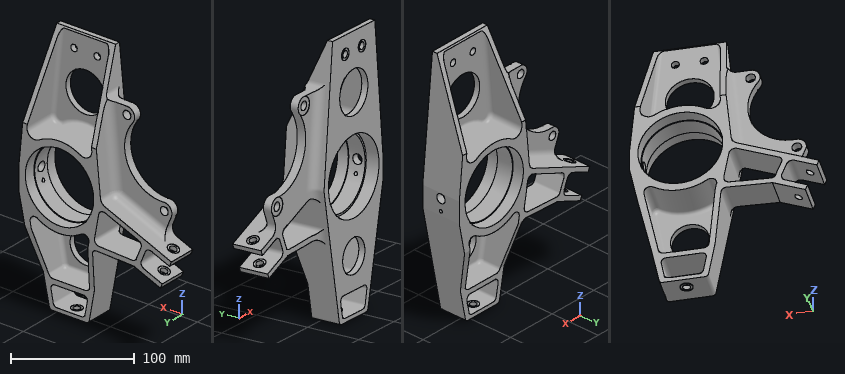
import cadquery as cq
import math

DEPTH = 40.0

TOP_Z = 125.5
TOP_HALF_WIDTH = 30.3
WAIST_HALF_WIDTH = 42.5
BOTTOM_Z = -122.5
BOTTOM_HALF_WIDTH = 20.0
FLAT_X = 42.0
FLAT_LOW_Z = -16.0
BOTTOM_CORNER_RADIUS = 3.2

SLOPE_START_Z = 46.7
TOP_THICKNESS = 5.2
LOWER_SLOPE_END_Z = -90.5
BOTTOM_THICKNESS = 27.3

WALL = 5.0
BORE_FRONT_RADIUS = 36.0
BORE_RADIUS = 34.3
BORE_SHOULDER_Y = 12.5
BORE_BACK_RADIUS = 35.0
BORE_BACK_Y = 28.8
RING_RADIUS = 42.0
UPPER_HOLE_Z = 72.5
UPPER_HOLE_RADIUS = 20.0
LOWER_HOLE_Z = -68.5
LOWER_HOLE_RADIUS = 16.0
POCKET_FLOOR_Y = 6.0
POCKET_FLOOR_RADIUS = 4.0
LOWER_POCKET_CORNER_RADIUS = 5.0
SLOT_TOP_Z = -98.3
SLOT_BOTTOM_Z = -118.5
SLOT_CORNER_RADIUS = 4.0

SENSOR_HOLE_RADIUS = 4.5
SCREW_HOLE_RADIUS = 1.5
SCREW_HOLE_Z = -12.0

INSERT_RADIUS = 5.2
INSERT_HOLE_RADIUS = 3.2
RECESS_DEPTH = 0.2
TOP_INSERT_X = 12.0
TOP_INSERT_Z = 108.8
BOTTOM_INSERT_Y = 17.1
BOTTOM_INSERT_PROUD = 0.5

BRACKET_FRONT_Y = 12.0
PLATE_BACK_Y = 20.0
LARGE_RADIUS = 8.0
ARM_CORNER_RADIUS = 8.2
JOINT_RADIUS = 5.0
TOP_JOINT_RADIUS = 7.0
INNER_RADIUS = 4.0
LUG_RADIUS = 8.0
LUG_HOLE_RADIUS = 4.0
UPPER_LUG = (-53.6, 74.7)
LOWER_LUG = (-91.9, -0.2)
DISC_CENTER = (-89.6, 45.7)

FORK_TIP = (-115.0, -31.0)
FORK_ANGLE = math.radians(22.5)
FORK_ARM = 5.0
FORK_GAP = 19.9
FORK_DEPTH = 25.0
FORK_HOLE_U = 9.7
LINK_ANGLE = math.radians(2.6)
LINK_START_U = 29.5

INSIDE_BODY_X = -24.8
INSIDE_RING_Z = 12.5
EDGE_CLEARANCE = 2.5
MARGIN = 12.5


def fork_point(u, n):
    x = FORK_TIP[0] + u * math.cos(FORK_ANGLE) + n * math.sin(FORK_ANGLE)
    z = FORK_TIP[1] + u * math.sin(FORK_ANGLE) - n * math.cos(FORK_ANGLE)
    return (x, z)


def on_line(start, angle, x):
    """Point at the given x on the line through start."""
    return (x, start[1] + (x - start[0]) * math.tan(angle))


def polar(center, radius, angle):
    return (center[0] + radius * math.cos(angle), center[1] + radius * math.sin(angle))


def heading(start, end):
    return math.atan2(end[1] - start[1], end[0] - start[0])


def half_width(z):
    """Half width of the tapered body, sharp at the waist."""
    if z >= 0:
        return WAIST_HALF_WIDTH + (TOP_HALF_WIDTH - WAIST_HALF_WIDTH) * z / TOP_Z
    return WAIST_HALF_WIDTH + (BOTTOM_HALF_WIDTH - WAIST_HALF_WIDTH) * z / BOTTOM_Z


LINK_START = fork_point(LINK_START_U, 2 * FORK_ARM + FORK_GAP)
LINK_TOP_START = (LINK_START[0], LINK_START[1] + FORK_ARM / math.cos(LINK_ANGLE))
WINDOW_U = FORK_DEPTH + FORK_ARM


def plane_at(y):
    return cq.Workplane("XZ", origin=(0, y, 0))


def prism(points, y_start, y_end):
    return plane_at(y_start).polyline(points).close().extrude(y_start - y_end)


def cylinder(center, radius, y_start, y_end):
    return plane_at(y_start).center(*center).circle(radius).extrude(y_start - y_end)


def round_corners(solid, corners, radius):
    """Round the edges along Y that pass through the given (x, z) corners."""
    edges = []
    for x, z in corners:
        edges.append(
            min(
                solid.edges("|Y").vals(),
                key=lambda edge: math.hypot(edge.Center().x - x, edge.Center().z - z),
            )
        )
    return solid.newObject(edges).fillet(radius)


def tapered_prism(z_low, z_high, inset, y_start, y_end):
    """Symmetric prism whose sides lie inset from one taper of the body."""
    taper = math.atan2(half_width(z_low) - half_width(z_high), z_high - z_low)
    side_inset = inset / math.cos(taper)
    low = half_width(z_low) - side_inset
    high = half_width(z_high) - side_inset
    return prism([(-low, z_low), (low, z_low), (high, z_high), (-high, z_high)], y_start, y_end)


def body_block():
    waist = (-WAIST_HALF_WIDTH, 0)
    bottom_corners = [(side * BOTTOM_HALF_WIDTH, BOTTOM_Z) for side in (-1, 1)]
    flat_top_z = TOP_Z * (WAIST_HALF_WIDTH - FLAT_X) / (WAIST_HALF_WIDTH - TOP_HALF_WIDTH)
    outline = [
        (-TOP_HALF_WIDTH, TOP_Z),
        (TOP_HALF_WIDTH, TOP_Z),
        (FLAT_X, flat_top_z),
        (FLAT_X, FLAT_LOW_Z),
        bottom_corners[1],
        bottom_corners[0],
        waist,
    ]
    block = prism(outline, 0, DEPTH)
    block = round_corners(block, [waist], LARGE_RADIUS)
    return round_corners(block, bottom_corners, BOTTOM_CORNER_RADIUS)


def window_link_corner():
    """Where the end of the window meets the top of the link."""
    top = fork_point(WINDOW_U, FORK_ARM)
    down = FORK_ANGLE - math.pi / 2
    rise = LINK_TOP_START[1] - top[1] + (top[0] - LINK_TOP_START[0]) * math.tan(LINK_ANGLE)
    length = rise / (math.sin(down) - math.cos(down) * math.tan(LINK_ANGLE))
    return polar(top, length, down)


def bracket_block():
    """Full-depth silhouette of the bracket, running into the body."""
    disc_radius = math.dist(DISC_CENTER, UPPER_LUG) - LUG_RADIUS
    upper_angle = heading(DISC_CENTER, UPPER_LUG)
    lower_angle = heading(DISC_CENTER, LOWER_LUG)
    upper_lug_end = upper_angle + math.pi
    lower_lug_start = lower_angle + math.pi
    lower_lug_end = FORK_ANGLE + math.pi
    lug_bottom = polar(LOWER_LUG, LUG_RADIUS, lower_lug_end)
    lug_u = (lug_bottom[0] - FORK_TIP[0]) * math.cos(FORK_ANGLE)
    lug_u += (lug_bottom[1] - FORK_TIP[1]) * math.sin(FORK_ANGLE)
    tail_corner = fork_point(lug_u, 0)
    gap_corners = [fork_point(FORK_DEPTH, FORK_ARM), fork_point(FORK_DEPTH, FORK_ARM + FORK_GAP)]
    lug_top_z = UPPER_LUG[1] + LUG_RADIUS

    block = (
        plane_at(0)
        .moveTo(INSIDE_BODY_X, lug_top_z)
        .lineTo(UPPER_LUG[0], lug_top_z)
        .threePointArc(
            polar(UPPER_LUG, LUG_RADIUS, (math.pi / 2 + upper_lug_end) / 2),
            polar(UPPER_LUG, LUG_RADIUS, upper_lug_end),
        )
        .threePointArc(
            polar(DISC_CENTER, disc_radius, (upper_angle + lower_angle) / 2),
            polar(LOWER_LUG, LUG_RADIUS, lower_lug_start),
        )
        .threePointArc(polar(LOWER_LUG, LUG_RADIUS, (lower_lug_start + lower_lug_end) / 2), lug_bottom)
        .lineTo(*tail_corner)
        .lineTo(*FORK_TIP)
        .lineTo(*fork_point(0, FORK_ARM))
        .lineTo(*gap_corners[0])
        .lineTo(*gap_corners[1])
        .lineTo(*fork_point(0, FORK_ARM + FORK_GAP))
        .lineTo(*fork_point(0, 2 * FORK_ARM + FORK_GAP))
        .lineTo(*LINK_START)
        .lineTo(*on_line(LINK_START, LINK_ANGLE, INSIDE_BODY_X))
        .close()
        .extrude(-DEPTH)
    )
    block = round_corners(block, [tail_corner], LARGE_RADIUS)
    block = round_corners(block, gap_corners, JOINT_RADIUS)

    window_top = fork_point(WINDOW_U, FORK_ARM)
    window_bottom = window_link_corner()
    window = prism(
        [
            window_top,
            on_line(window_top, FORK_ANGLE, INSIDE_BODY_X),
            on_line(LINK_TOP_START, LINK_ANGLE, INSIDE_BODY_X),
            window_bottom,
        ],
        0,
        DEPTH,
    )
    window = round_corners(window, [window_top, window_bottom], INNER_RADIUS)
    return block.cut(window)


def side_crossing(start, angle, z_end):
    """Where a line meets the left side of the body between the waist and the end z_end."""
    side_slope = (half_width(z_end) - WAIST_HALF_WIDTH) / z_end
    x = -(WAIST_HALF_WIDTH + side_slope * (start[1] - start[0] * math.tan(angle)))
    x /= 1 + side_slope * math.tan(angle)
    return on_line(start, angle, x)


def joined_block():
    """Body and bracket with rounded inner corners where the bracket runs into the body."""
    top_joint = side_crossing((UPPER_LUG[0], UPPER_LUG[1] + LUG_RADIUS), 0, TOP_Z)
    lower_joints = [
        side_crossing(fork_point(WINDOW_U, FORK_ARM), FORK_ANGLE, BOTTOM_Z),
        side_crossing(LINK_TOP_START, LINK_ANGLE, BOTTOM_Z),
        side_crossing(LINK_START, LINK_ANGLE, BOTTOM_Z),
    ]
    block = body_block().union(bracket_block())
    block = round_corners(block, [top_joint], TOP_JOINT_RADIUS)
    return round_corners(block, lower_joints, JOINT_RADIUS)


def round_near_edges(space, face, far_x, radius):
    """Round the edges of a face, except those on the outer limits at far_x and at the body ends."""
    low_corner = (far_x + EDGE_CLEARANCE, 0, BOTTOM_Z + EDGE_CLEARANCE)
    high_corner = (0, DEPTH, TOP_Z - EDGE_CLEARANCE)
    near = cq.selectors.BoxSelector(low_corner, high_corner)
    return space.faces(face).edges(near).fillet(radius)


def front_clearance():
    """Space in front of the bracket, blended into the left side of the body."""
    far_x = FORK_TIP[0] - MARGIN
    waist = (-WAIST_HALF_WIDTH, 0)
    outline = [
        (far_x, TOP_Z),
        (-TOP_HALF_WIDTH, TOP_Z),
        waist,
        (-BOTTOM_HALF_WIDTH, BOTTOM_Z),
        (far_x, BOTTOM_Z),
    ]
    space = round_corners(prism(outline, -MARGIN, BRACKET_FRONT_Y), [waist], LARGE_RADIUS)
    return round_near_edges(space, ">Y", far_x, LARGE_RADIUS)


def back_clearance():
    """Space behind the lug plate, bounded by the upper arm and the body."""
    corner = side_crossing(FORK_TIP, FORK_ANGLE, TOP_Z)
    far = fork_point(-MARGIN, 0)
    outline = [corner, (-TOP_HALF_WIDTH, TOP_Z), (far[0], TOP_Z), far]
    space = round_corners(prism(outline, PLATE_BACK_Y, DEPTH + MARGIN), [corner], ARM_CORNER_RADIUS)
    return round_near_edges(space, "<Y", far[0], LARGE_RADIUS)


def side_wedge(outline):
    """Prism along X that spans the body and its side fillets, from a (y, z) outline."""
    return cq.Workplane("YZ").polyline(outline).close().extrude(WAIST_HALF_WIDTH + LARGE_RADIUS, both=True)


def back_slopes():
    """Wedges that thin the body towards its upper and lower ends."""
    back_y = DEPTH + MARGIN
    upper = [(DEPTH, SLOPE_START_Z), (TOP_THICKNESS, TOP_Z), (back_y, TOP_Z), (back_y, SLOPE_START_Z)]
    lower = [
        (DEPTH, -SLOPE_START_Z),
        (BOTTOM_THICKNESS, LOWER_SLOPE_END_Z),
        (BOTTOM_THICKNESS, BOTTOM_Z),
        (back_y, BOTTOM_Z),
        (back_y, -SLOPE_START_Z),
    ]
    return side_wedge(upper).union(side_wedge(lower))


def back_pocket(z_near, z_far, corner_radius):
    """Pocket between the ring round the bore and one end of the body, open to the back."""
    z_low, z_high = sorted((z_near, z_far))
    space = tapered_prism(z_low, z_high, WALL, POCKET_FLOOR_Y, DEPTH + MARGIN)
    space = space.cut(cylinder((0, 0), RING_RADIUS, 0, DEPTH + 2 * MARGIN))
    space = space.edges("|Y").fillet(corner_radius)
    return space.faces("<Y").edges().fillet(POCKET_FLOOR_RADIUS)


def cut_body_openings(part):
    part = part.cut(back_pocket(INSIDE_RING_Z, TOP_Z + 2 * MARGIN, LARGE_RADIUS))
    part = part.cut(back_pocket(-INSIDE_RING_Z, SLOT_TOP_Z + WALL, LOWER_POCKET_CORNER_RADIUS))
    part = part.cut(cylinder((0, 0), BORE_FRONT_RADIUS, 0, BORE_SHOULDER_Y))
    part = part.cut(cylinder((0, 0), BORE_RADIUS, 0, DEPTH))
    part = part.cut(cylinder((0, 0), BORE_BACK_RADIUS, BORE_BACK_Y, DEPTH))
    part = part.cut(cylinder((0, UPPER_HOLE_Z), UPPER_HOLE_RADIUS, 0, DEPTH))
    part = part.cut(cylinder((0, LOWER_HOLE_Z), LOWER_HOLE_RADIUS, 0, DEPTH))
    slot = tapered_prism(SLOT_BOTTOM_Z, SLOT_TOP_Z, WALL, 0, DEPTH)
    return part.cut(slot.edges("|Y").fillet(SLOT_CORNER_RADIUS))


def cut_lug_holes(part):
    for center in (UPPER_LUG, LOWER_LUG):
        part = part.cut(cylinder(center, LUG_HOLE_RADIUS, 0, DEPTH))
        part = part.cut(cylinder(center, LUG_RADIUS, 0, BRACKET_FRONT_Y + RECESS_DEPTH))
    return part


def cut_top_inserts(part):
    for x in (-TOP_INSERT_X, TOP_INSERT_X):
        part = part.cut(cylinder((x, TOP_INSERT_Z), INSERT_HOLE_RADIUS, 0, DEPTH))
        part = part.cut(cylinder((x, TOP_INSERT_Z), INSERT_RADIUS, 0, RECESS_DEPTH))
    return part


def rod(start, direction, radius, length):
    return cq.Workplane(cq.Solid.makeCylinder(radius, length, cq.Vector(*start), cq.Vector(*direction)))


def cut_cross_holes(part):
    for z, radius in ((0, SENSOR_HOLE_RADIUS), (SCREW_HOLE_Z, SCREW_HOLE_RADIUS)):
        part = part.cut(rod((0, DEPTH / 2, z), (1, 0, 0), radius, FLAT_X))
    return part


def cut_fork_inserts(part):
    middle_y = (BRACKET_FRONT_Y + DEPTH) / 2
    down = (math.sin(FORK_ANGLE), 0, -math.cos(FORK_ANGLE))
    for n in (0, FORK_ARM + FORK_GAP):
        x, z = fork_point(FORK_HOLE_U, n)
        part = part.cut(rod((x, middle_y, z), down, INSERT_HOLE_RADIUS, FORK_ARM))
        part = part.cut(rod((x, middle_y, z), down, INSERT_RADIUS, RECESS_DEPTH))
    return part


def add_bottom_insert(part):
    low = (0, BOTTOM_INSERT_Y, BOTTOM_Z - BOTTOM_INSERT_PROUD)
    up = (0, 0, 1)
    wall = SLOT_BOTTOM_Z - low[2]
    recess_start = (0, BOTTOM_INSERT_Y, SLOT_BOTTOM_Z - RECESS_DEPTH)
    part = part.union(rod(low, up, INSERT_RADIUS, wall))
    part = part.cut(rod(low, up, INSERT_HOLE_RADIUS, wall))
    return part.cut(rod(recess_start, up, INSERT_RADIUS, RECESS_DEPTH))


result = joined_block().cut(front_clearance()).cut(back_clearance()).cut(back_slopes())
result = cut_body_openings(result)
result = cut_cross_holes(result)
result = cut_lug_holes(result)
result = cut_top_inserts(result)
result = cut_fork_inserts(result)
result = add_bottom_insert(result)